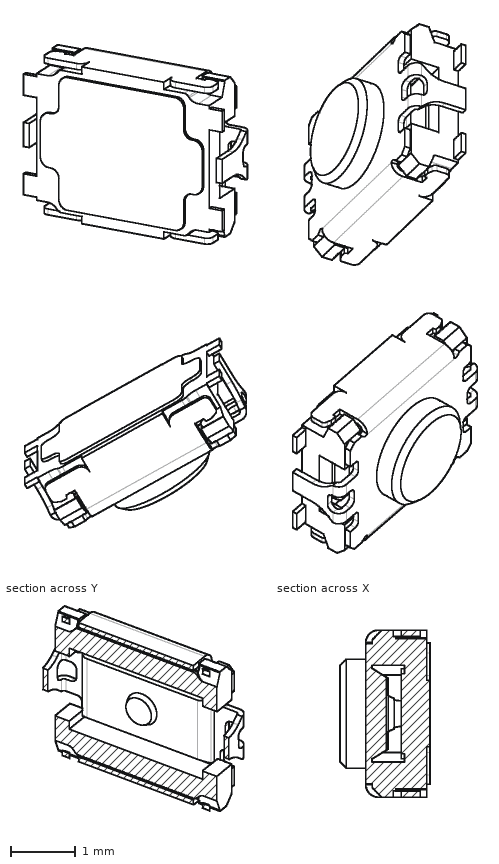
import cadquery as cq
import math


Y_HOUSING = 0.05
Y_FLOOR = 0.40
Y_CORE = 0.53
Y_POST = 0.57
Y_COVER = 0.90
SHEET = 0.10
Y_TOP = Y_COVER + SHEET
BUTTON_HEIGHT = 0.40

HOUSING_HALF_X = 1.52
BASE_HALF_Z = 1.18
SHOULDER_Z = 1.05
COVE_START_X = 1.325
COVE_RADIUS = 0.20
COVE_ANGLE = math.radians(51)
COVE_FLAT = 0.027
SHOULDER_RADIUS = 0.10
CORE_HALF_X = 1.14
CORE_HALF_Z = 1.20
CORE_CHAMFER = 0.10
RIB_HALF_X = 0.725
RIB_TOP_Y = 0.45
POST_INNER_X = 1.12
POST_HALF_Z = 1.30
POST_CHAMFER = 0.15
RAMP_TOP_Z = 1.28
RAMP_BOTTOM_Y = 0.48
WINDOW_HALF_Z = 0.60
CAVITY_HALF_X = 1.25
CAVITY_HALF_Z = 0.75

PAD_HALF = 1.10
PAD_EAR_HALF_X = 1.425
PAD_EAR_HALF_Z = 0.45
PAD_RADIUS = 0.15

TERMINAL_HALF_X = 1.75
TERMINAL_THICKNESS = 0.08
TERMINAL_Z = (0.65, 1.00)

CONTACT_HALF_X = 1.20
CONTACT_HALF_Z = 0.70
CONTACT_THICKNESS = 0.05
CONTACT_CHAMFER = 0.15
PLUNGER_HALF_X = 1.19
PLUNGER_HALF_Z = 0.70
PLUNGER_BOTTOM_Y = 0.65
PLUNGER_FILLET = 0.15
PLUNGER_BEVEL_Y = 0.24
PLUNGER_BEVEL_Z = 0.15
NUB_TOP_RADIUS = 0.28
NUB_BOTTOM_RADIUS = 0.24
NUB_HEIGHT = 0.09
BUTTON_RADIUS = 0.85
BUTTON_CHAMFER = 0.10

COVER_HALF_X = 1.50
COVER_HALF_Z = 1.15
COVER_CHAMFER = 0.10
RELIEF_OUTER_X = 1.21
RELIEF_SLOPE = 0.043
RELIEF_SAG = 0.018

FLANGE_HALF_X = 1.08
FLANGE_HALF_Z = 1.30
FLANGE_BEND = 0.20
HOOK_END_X = 1.48
HOOK_BOTTOM_Y = 0.15
HOOK_NOTCH_Y = 0.45
HOOK_CORNER = 0.10
HOOK_HEEL = 0.15
HOOK_CROWN_Y = 0.502
HOOK_CROWN_X = (1.25, 1.35)
HOOK_CROWN_SETBACK = 0.015
HOOK_SHOULDER = [(HOOK_END_X, 0.415), (1.463, 0.45), (1.42, 0.472)]

LEG_HALF_X = TERMINAL_HALF_X
LEG_ROOT_HALF_Z = 0.40
LEG_TIP_HALF_Z = 0.20
LEG_BEND = 0.15
TAPER_TOP_Y = Y_TOP - LEG_BEND
TAPER_MID = (0.737, 0.308)
TAPER_END_Y = 0.43
LEG_NOTCH_INNER_X = 1.30
LEG_NOTCH_OUTER_Z = 0.705
LEG_NOTCH_RADIUS = 0.075
SLOT_HALF_Z = 0.177
SLOT_RADIUS = 0.106
SLOT_INNER_X = 1.40
SLOT_END_Y = 0.745

CLEAR = 0.50


def block(x, y, z):
    """Box from three (low, high) ranges."""
    size = (x[1] - x[0], y[1] - y[0], z[1] - z[0])
    return cq.Workplane("XY").box(*size, centered=False).translate((x[0], y[0], z[0]))


def centred_block(half_x, y, half_z):
    """Box centred on X and Z over a (low, high) Y range."""
    return block((-half_x, half_x), y, (-half_z, half_z))


def at_level(y):
    """Sketch plane across Y; a negative extrusion goes towards +Y."""
    return cq.Workplane("XZ", origin=(0, y, 0))


def both_ends(body):
    """The body and its mirror image on the other X end."""
    return body.union(body.mirror("YZ"))


def both_sides(body):
    """The body and its mirror image on the other Z side."""
    return body.union(body.mirror("XY"))


def four_corners(body):
    return both_sides(both_ends(body))


def make_base():
    """Lower housing block with an S-shaped step along each corner."""
    base = centred_block(HOUSING_HALF_X, (Y_HOUSING, Y_CORE), BASE_HALF_Z)
    sin_full, cos_full = math.sin(COVE_ANGLE), math.cos(COVE_ANGLE)
    sin_half, cos_half = math.sin(COVE_ANGLE / 2), math.cos(COVE_ANGLE / 2)
    cove_mid = (COVE_START_X - COVE_RADIUS * sin_half, SHOULDER_Z + COVE_RADIUS * (1 - cos_half))
    cove_end = (COVE_START_X - COVE_RADIUS * sin_full, SHOULDER_Z + COVE_RADIUS * (1 - cos_full))
    flat_end = (cove_end[0] - COVE_FLAT * cos_full, cove_end[1] + COVE_FLAT * sin_full)
    shoulder_x = flat_end[0] - SHOULDER_RADIUS * sin_full
    shoulder_mid = (
        shoulder_x + SHOULDER_RADIUS * sin_half,
        BASE_HALF_Z - SHOULDER_RADIUS * (1 - cos_half),
    )
    far_x = HOUSING_HALF_X + CLEAR
    step = (
        at_level(Y_HOUSING)
        .moveTo(far_x, SHOULDER_Z)
        .lineTo(COVE_START_X, SHOULDER_Z)
        .threePointArc(cove_mid, cove_end)
        .lineTo(*flat_end)
        .threePointArc(shoulder_mid, (shoulder_x, BASE_HALF_Z))
        .lineTo(shoulder_x, BASE_HALF_Z + CLEAR)
        .lineTo(far_x, BASE_HALF_Z + CLEAR)
        .close()
        .extrude(Y_HOUSING - Y_CORE)
    )
    return base.cut(four_corners(step))


def make_post():
    """Corner post with a chamfered top and a ramp leading down to the step."""
    post = (
        cq.Workplane("YZ", origin=(POST_INNER_X, 0, 0))
        .moveTo(Y_POST, 0)
        .lineTo(Y_COVER, 0)
        .lineTo(Y_COVER, POST_HALF_Z - POST_CHAMFER)
        .lineTo(Y_COVER - POST_CHAMFER, POST_HALF_Z)
        .lineTo(Y_POST, POST_HALF_Z)
        .close()
        .extrude(HOUSING_HALF_X - POST_INNER_X)
    )
    ramp = (
        cq.Workplane("YZ", origin=(CORE_HALF_X, 0, 0))
        .moveTo(RAMP_BOTTOM_Y, 0)
        .lineTo(Y_POST, 0)
        .lineTo(Y_POST, RAMP_TOP_Z)
        .lineTo(RAMP_BOTTOM_Y, SHOULDER_Z)
        .close()
        .extrude(HOUSING_HALF_X - CORE_HALF_X)
    )
    return post.union(ramp)


def make_housing():
    core = centred_block(CORE_HALF_X, (Y_CORE, Y_COVER), CORE_HALF_Z)
    core = core.faces(">Y").edges("|X").chamfer(CORE_CHAMFER)
    rib = centred_block(RIB_HALF_X, (Y_HOUSING, RIB_TOP_Y), FLANGE_HALF_Z - SHEET)
    housing = make_base().union(core).union(rib).union(four_corners(make_post()))
    window = centred_block(HOUSING_HALF_X + CLEAR, (Y_FLOOR, Y_COVER), WINDOW_HALF_Z)
    cavity = centred_block(CAVITY_HALF_X, (Y_FLOOR, Y_COVER), CAVITY_HALF_Z)
    return housing.cut(window).cut(cavity)


def make_pad():
    """Thin square pad with a rounded ear on each X end."""
    square = centred_block(PAD_HALF, (0, Y_HOUSING), PAD_HALF)
    ears = centred_block(PAD_EAR_HALF_X, (0, Y_HOUSING), PAD_EAR_HALF_Z)
    return square.union(ears).edges("|Y").fillet(PAD_RADIUS)


def make_terminals():
    terminal = block(
        (HOUSING_HALF_X - TERMINAL_THICKNESS, TERMINAL_HALF_X),
        (Y_HOUSING, Y_HOUSING + TERMINAL_THICKNESS),
        TERMINAL_Z,
    )
    return four_corners(terminal)


def make_contact():
    """Contact plate lying on the cavity floor."""
    plate = centred_block(CONTACT_HALF_X, (Y_FLOOR, Y_FLOOR + CONTACT_THICKNESS), CONTACT_HALF_Z)
    return plate.edges("|Y").chamfer(CONTACT_CHAMFER)


def make_plunger():
    """Plunger under the cover, its central nub and the round button above the cover."""
    plunger = centred_block(PLUNGER_HALF_X, (PLUNGER_BOTTOM_Y, Y_COVER), PLUNGER_HALF_Z)
    plunger = plunger.faces("<Y").edges("|Z").fillet(PLUNGER_FILLET)
    end_bevel = (
        cq.Workplane("YZ", origin=(-PLUNGER_HALF_X, 0, 0))
        .moveTo(PLUNGER_BOTTOM_Y, PLUNGER_HALF_Z)
        .lineTo(PLUNGER_BOTTOM_Y, PLUNGER_HALF_Z - PLUNGER_BEVEL_Z)
        .lineTo(PLUNGER_BOTTOM_Y + PLUNGER_BEVEL_Y, PLUNGER_HALF_Z)
        .close()
        .extrude(2 * PLUNGER_HALF_X)
    )
    plunger = plunger.cut(both_sides(end_bevel))
    nub = (
        at_level(PLUNGER_BOTTOM_Y)
        .circle(NUB_TOP_RADIUS)
        .workplane(offset=NUB_HEIGHT)
        .circle(NUB_BOTTOM_RADIUS)
        .loft()
    )
    button = at_level(Y_TOP).circle(BUTTON_RADIUS).extrude(-BUTTON_HEIGHT)
    button = button.faces(">Y").edges().chamfer(BUTTON_CHAMFER)
    return plunger.union(nub).union(button)


def make_cover_plate():
    """Flat part of the cover, cut back at the flanges and beside the legs."""
    plate = centred_block(COVER_HALF_X, (Y_COVER, Y_TOP), COVER_HALF_Z)
    plate = plate.edges("|Y").chamfer(COVER_CHAMFER)

    bend_z = FLANGE_HALF_Z - FLANGE_BEND
    flange_gap = block((-FLANGE_HALF_X, FLANGE_HALF_X), (Y_COVER, Y_TOP), (bend_z, COVER_HALF_Z))

    slope_x = RELIEF_OUTER_X - RELIEF_SLOPE
    slope_z = COVER_HALF_Z - RELIEF_SLOPE
    relief = (
        at_level(Y_COVER)
        .moveTo(RELIEF_OUTER_X, COVER_HALF_Z)
        .lineTo(slope_x, slope_z)
        .threePointArc(((slope_x + FLANGE_HALF_X) / 2, slope_z - RELIEF_SAG), (FLANGE_HALF_X, slope_z))
        .lineTo(FLANGE_HALF_X, COVER_HALF_Z)
        .close()
        .extrude(-SHEET)
    )

    leg_notch = block(
        (LEG_NOTCH_INNER_X, COVER_HALF_X + CLEAR), (Y_COVER, Y_TOP), (LEG_ROOT_HALF_Z, LEG_NOTCH_OUTER_Z)
    )
    leg_notch = leg_notch.faces("<X").edges("|Y").fillet(LEG_NOTCH_RADIUS)
    return plate.cut(both_sides(flange_gap)).cut(four_corners(relief)).cut(four_corners(leg_notch))


def folded_strip(plane, reach, root, end_y, bend, half_width):
    """L-shaped strip: along the cover from root to reach, then down to end_y."""
    inner_bend = bend - SHEET
    diagonal = 1 - math.sqrt(0.5)
    outer_mid = (reach - bend * diagonal, Y_TOP - bend * diagonal)
    inner_mid = (reach - SHEET - inner_bend * diagonal, Y_COVER - inner_bend * diagonal)
    return (
        plane
        .moveTo(root, Y_TOP)
        .lineTo(reach - bend, Y_TOP)
        .threePointArc(outer_mid, (reach, Y_TOP - bend))
        .lineTo(reach, end_y)
        .lineTo(reach - SHEET, end_y)
        .lineTo(reach - SHEET, Y_TOP - bend)
        .threePointArc(inner_mid, (reach - bend, Y_COVER))
        .lineTo(root, Y_COVER)
        .close()
        .extrude(half_width, both=True)
    )


def make_hook():
    """Hook at one end of a flange, reaching out under the corner post."""
    corner = HOOK_CORNER * math.sqrt(0.5)
    heel = HOOK_HEEL * math.sqrt(0.5)
    corner_x, corner_y = HOOK_END_X - HOOK_CORNER, HOOK_BOTTOM_Y + HOOK_CORNER
    heel_x, heel_y = RIB_HALF_X + HOOK_HEEL, HOOK_BOTTOM_Y + HOOK_HEEL
    return (
        cq.Workplane("XY", origin=(0, 0, FLANGE_HALF_Z - SHEET))
        .moveTo(RIB_HALF_X, HOOK_NOTCH_Y)
        .lineTo(RIB_HALF_X, heel_y)
        .threePointArc((heel_x - heel, heel_y - heel), (heel_x, HOOK_BOTTOM_Y))
        .lineTo(corner_x, HOOK_BOTTOM_Y)
        .threePointArc((corner_x + corner, corner_y - corner), (HOOK_END_X, corner_y))
        .lineTo(*HOOK_SHOULDER[0])
        .threePointArc(*HOOK_SHOULDER[1:])
        .lineTo(HOOK_CROWN_X[1], HOOK_CROWN_Y)
        .lineTo(HOOK_CROWN_X[0], HOOK_CROWN_Y)
        .lineTo(HOOK_CROWN_X[0] - HOOK_CROWN_SETBACK, HOOK_NOTCH_Y)
        .close()
        .extrude(SHEET)
    )


def make_flanges():
    """Flanges with a bend along the cover, a central tab and two hooks each."""
    root_z = FLANGE_HALF_Z - FLANGE_BEND - SHEET
    flange = folded_strip(
        cq.Workplane("ZY"), FLANGE_HALF_Z, root_z, HOOK_NOTCH_Y, FLANGE_BEND, FLANGE_HALF_X
    )
    tab = block(
        (-RIB_HALF_X, RIB_HALF_X), (Y_HOUSING, HOOK_NOTCH_Y), (FLANGE_HALF_Z - SHEET, FLANGE_HALF_Z)
    )
    return both_sides(flange.union(tab).union(both_ends(make_hook())))


def make_legs():
    """Legs that taper in a curve towards their tips."""
    strip = folded_strip(
        cq.Workplane("XY"), LEG_HALF_X, LEG_NOTCH_INNER_X, Y_HOUSING, LEG_BEND, LEG_ROOT_HALF_Z
    )
    run, rise = TAPER_MID[0] - TAPER_END_Y, TAPER_MID[1] - LEG_TIP_HALF_Z
    radius = (run**2 + rise**2) / (2 * rise)
    half_angle = math.asin(run / radius) / 2
    arc_mid = (
        TAPER_END_Y + radius * math.sin(half_angle),
        LEG_TIP_HALF_Z + radius * (1 - math.cos(half_angle)),
    )
    taper = (
        cq.Workplane("YZ", origin=(LEG_HALF_X - LEG_BEND, 0, 0))
        .moveTo(TAPER_TOP_Y, LEG_ROOT_HALF_Z)
        .lineTo(*TAPER_MID)
        .threePointArc(arc_mid, (TAPER_END_Y, LEG_TIP_HALF_Z))
        .lineTo(Y_HOUSING, LEG_TIP_HALF_Z)
        .lineTo(Y_HOUSING, LEG_ROOT_HALF_Z)
        .close()
        .extrude(LEG_BEND)
    )
    return both_ends(strip.cut(both_sides(taper)))


def make_leg_slots():
    """Slots across the leg bends, reaching into the edge of the cover plate."""
    slot = block(
        (SLOT_INNER_X, LEG_HALF_X), (SLOT_END_Y, Y_TOP), (-SLOT_HALF_Z, SLOT_HALF_Z)
    )
    slot = slot.faces("<X").edges("|Y").fillet(SLOT_RADIUS)
    slot = slot.faces("<Y").edges("|X").fillet(SLOT_RADIUS)
    return both_ends(slot)


cover = make_cover_plate().union(make_flanges()).union(make_legs()).cut(make_leg_slots())
result = make_housing().union(cover)
for piece in (make_pad(), make_terminals(), make_contact(), make_plunger()):
    result = result.union(piece)